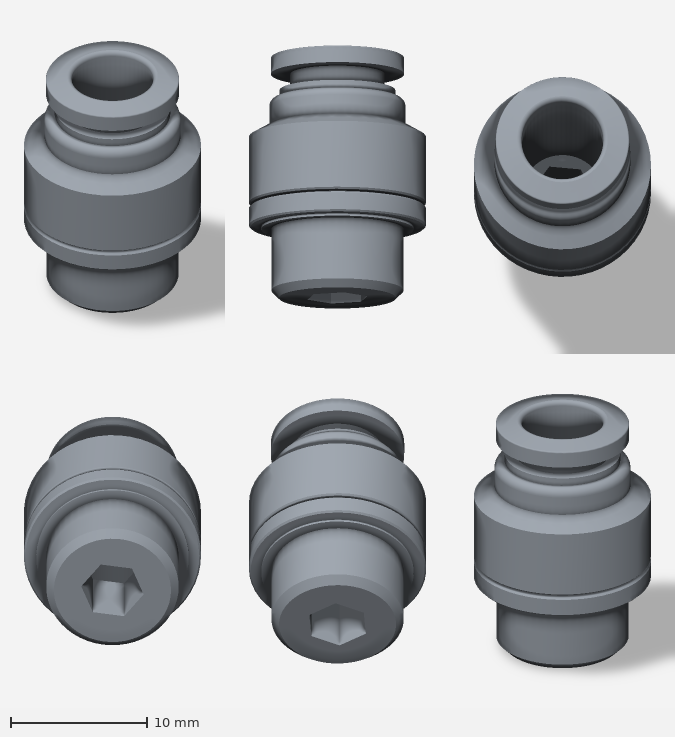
import cadquery as cq
import math

total_height = 18.22
shank_top = 5.12
flange_bottom = 5.3
flange_top = 6.8
body_bottom = 6.98
body_top = 12.03
sleeve_top = 14.9
collar_top = 15.5
head_bottom = 16.7
head_crown_height = 0.27

shank_diameter = 9.73
groove_diameter = 11.2
body_diameter = 13.0
sleeve_diameter = 10.0
collar_diameter = 8.5
neck_diameter = 6.95
head_diameter = 9.8
bore_diameter = 6.0
hex_across_flats = 4.0

shank_chamfer = 0.56
rim_chamfer = 0.13
sleeve_rounding = 0.6
head_rounding = 0.11
bore_rounding = 0.33
shoulder_angle = 30.0


def disc(diameter, bottom, top):
    """Cylinder on the Z axis between two heights."""
    return cq.Workplane("XY").workplane(offset=bottom).circle(diameter / 2).extrude(top - bottom)


def make_shank():
    return disc(shank_diameter, 0, shank_top).faces("<Z").edges().chamfer(shank_chamfer)


def make_flange():
    return disc(body_diameter, flange_bottom, flange_top).edges("%CIRCLE").chamfer(rim_chamfer)


def make_body():
    """Main barrel with a conical shoulder rising to the sleeve."""
    shoulder_width = (body_diameter - sleeve_diameter) / 2
    shoulder_height = shoulder_width * math.tan(math.radians(shoulder_angle))
    barrel = disc(body_diameter, body_bottom, body_top).faces("<Z").edges().chamfer(rim_chamfer)
    shoulder = (
        cq.Workplane("XY")
        .workplane(offset=body_top)
        .circle(body_diameter / 2)
        .workplane(offset=shoulder_height)
        .circle(sleeve_diameter / 2)
        .loft()
    )
    return barrel.union(shoulder)


def make_sleeve():
    return disc(sleeve_diameter, body_top, sleeve_top).faces(">Z").edges().fillet(sleeve_rounding)


def make_head():
    """Push ring with a shallow conical crown, rounded at its outer edge."""
    head_radius = head_diameter / 2
    lip_radius = bore_diameter / 2 + bore_rounding
    crown_edge = total_height - head_crown_height
    return (
        cq.Workplane("XZ")
        .moveTo(0, head_bottom)
        .lineTo(head_radius, head_bottom)
        .lineTo(head_radius, crown_edge)
        .lineTo(lip_radius, total_height)
        .lineTo(0, total_height)
        .close()
        .revolve(360, (0, 0), (0, 1))
        .edges(cq.selectors.RadiusNthSelector(-1)).edges(">Z")
        .fillet(head_rounding)
    )


def make_bore():
    """Tube bore down to the shank, with the flare of the rounded lip at its mouth."""
    bore_radius = bore_diameter / 2
    lip_radius = bore_radius + bore_rounding
    return (
        cq.Workplane("XZ")
        .moveTo(0, shank_top)
        .lineTo(bore_radius, shank_top)
        .lineTo(bore_radius, total_height - bore_rounding)
        .radiusArc((lip_radius, total_height), bore_rounding)
        .lineTo(0, total_height)
        .close()
        .revolve(360, (0, 0), (0, 1))
    )


def make_hex_socket():
    """Through hexagon with two corners on the Y axis."""
    across_corners = hex_across_flats / math.cos(math.radians(30))
    hexagon = cq.Workplane("XY").polygon(6, across_corners).extrude(shank_top)
    return hexagon.rotate((0, 0, 0), (0, 0, 1), 30)


result = (
    make_shank()
    .union(disc(groove_diameter, shank_top, body_bottom))
    .union(make_flange())
    .union(make_body())
    .union(make_sleeve())
    .union(disc(collar_diameter, sleeve_top, collar_top))
    .union(disc(neck_diameter, collar_top, head_bottom))
    .union(make_head())
    .cut(make_bore())
    .cut(make_hex_socket())
)